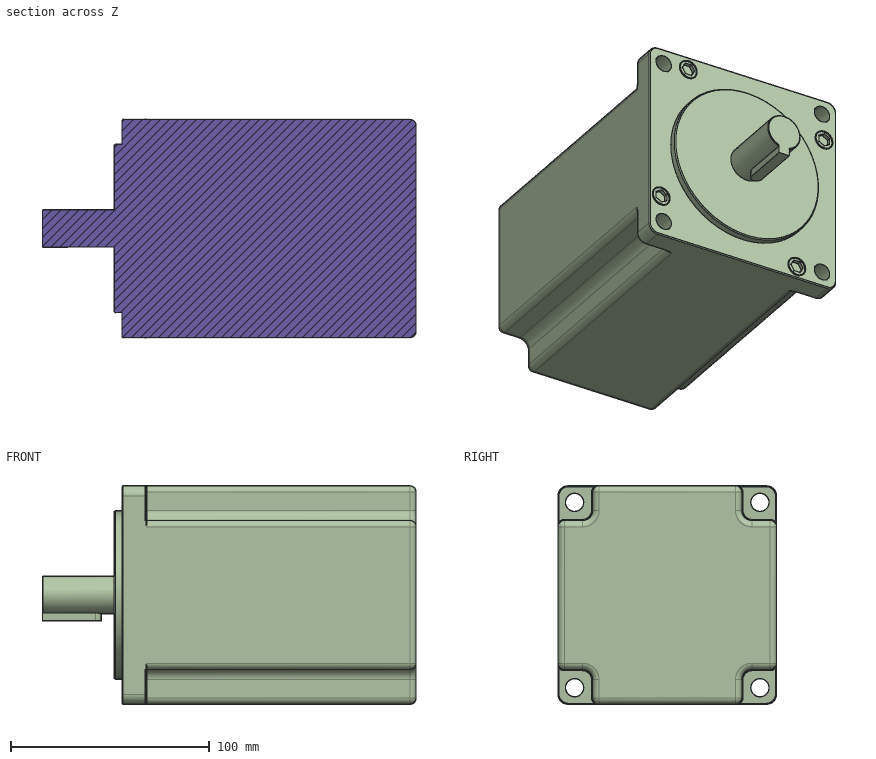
import cadquery as cq
import math

length = 188.0
width = 110.0
half_width = width / 2

quarters = 4
quarter_turn = 360 / quarters

shaft_diameter = 19.0
shaft_chamfer = 0.4
key_width = 6.0
key_length = 29.7
key_reach = 13.0

pilot_start = 36.1
pilot_diameter = 85.0
flange_start = 40.0
flange_end = 52.0
flange_corner_radius = 5.0
edge_chamfer = 0.5

notch_size = 17.5
notch_root_radius = 5.0
housing_edge_radius = 3.2
foot_size = 0.5

mount_offset = 46.6
mount_diameter = 9.0

screw_near_offset = 32.0
screw_far_offset = 48.0
screw_bore_diameter = 10.2
screw_head_diameter = 9.5
screw_gap_depth = 0.5
socket_across_flats = 6.2
socket_depth = 2.0


def plane_at(x):
    """Plane facing +X, with local x along Y and local y along Z."""
    return cq.Workplane("YZ", origin=(x, 0, 0))


def notched_outline(x, notch, root_radius):
    """Closed square outline at x with a notch in each corner, round at its root and outer edges."""
    floor = half_width - notch
    corner = (
        (half_width, floor - housing_edge_radius),
        (half_width - housing_edge_radius, floor),
        (floor + root_radius, floor),
        (floor, floor + root_radius),
        (floor, half_width - housing_edge_radius),
        (floor - housing_edge_radius, half_width),
    )
    outline = plane_at(x).moveTo(half_width, housing_edge_radius - floor)
    for quarter in range(quarters):
        angle = math.radians(quarter_turn * quarter)
        points = [
            (y * math.cos(angle) - z * math.sin(angle), y * math.sin(angle) + z * math.cos(angle))
            for y, z in corner
        ]
        for line_end, arc_end in zip(points[0::2], points[1::2]):
            outline = outline.lineTo(*line_end).tangentArcPoint(arc_end, relative=False)
    return outline.close()


def make_housing():
    """Notched bar with a rounded rear rim and a small sloped foot where it meets the flange."""
    bar = (
        notched_outline(flange_end, notch_size, notch_root_radius)
        .extrude(length - flange_end)
        .faces(">X")
        .edges()
        .fillet(housing_edge_radius)
    )
    foot_start = notched_outline(flange_end, notch_size - foot_size, notch_root_radius - foot_size)
    foot_end = notched_outline(flange_end + foot_size, notch_size, notch_root_radius)
    foot = cq.Solid.makeLoft([foot_start.val(), foot_end.val()], ruled=True)
    return bar.union(cq.Workplane(foot))


def make_flange():
    """Rounded square plate with both rims chamfered, the rear one only beside the notches."""
    plate = (
        plane_at(flange_start)
        .rect(width, width)
        .extrude(flange_end - flange_start)
        .edges("|X")
        .fillet(flange_corner_radius)
        .faces("<X or >X")
        .edges()
        .chamfer(edge_chamfer)
    )
    between_notches = width - 2 * notch_size
    rim_start = flange_end - edge_chamfer
    upright = plane_at(rim_start).rect(between_notches, width).extrude(edge_chamfer)
    crossbar = plane_at(rim_start).rect(width, between_notches).extrude(edge_chamfer)
    return plate.union(upright).union(crossbar)


def make_pilot():
    """Low disc that centres the motor, with a broken front rim."""
    return (
        plane_at(pilot_start)
        .circle(pilot_diameter / 2)
        .extrude(flange_end - pilot_start)
        .faces("<X")
        .edges()
        .chamfer(edge_chamfer)
    )


def make_shaft():
    """Shaft running into the flange, with its free end lightly broken."""
    return (
        plane_at(0)
        .circle(shaft_diameter / 2)
        .extrude(flange_end)
        .faces("<X")
        .edges()
        .chamfer(shaft_chamfer)
    )


def make_key():
    """Key flush with the shaft end, reaching down from the shaft axis."""
    end_radius = key_width / 2
    straight_length = key_length - end_radius
    return (
        cq.Workplane("XY")
        .moveTo(0, -end_radius)
        .lineTo(straight_length, -end_radius)
        .threePointArc((key_length, 0), (straight_length, end_radius))
        .lineTo(0, end_radius)
        .close()
        .extrude(-key_reach)
    )


def make_mount_holes():
    """Through holes in the flange corners."""
    return (
        plane_at(flange_start)
        .rect(2 * mount_offset, 2 * mount_offset, forConstruction=True)
        .vertices()
        .circle(mount_diameter / 2)
        .extrude(flange_end - flange_start)
    )


def make_screw_recess():
    """Ring gap around one screw head together with its hexagonal socket."""
    gap = (
        plane_at(flange_start)
        .center(screw_near_offset, screw_far_offset)
        .circle(screw_bore_diameter / 2)
        .circle(screw_head_diameter / 2)
        .extrude(screw_gap_depth)
    )
    socket = (
        plane_at(flange_start)
        .center(screw_near_offset, screw_far_offset)
        .polygon(6, socket_across_flats / math.cos(math.pi / 6))
        .extrude(socket_depth)
    )
    return gap.union(socket)


result = make_flange().union(make_housing()).union(make_pilot()).union(make_shaft()).union(make_key())
result = result.cut(make_mount_holes())
screw_recess = make_screw_recess()
for quarter in range(quarters):
    result = result.cut(screw_recess.rotate((0, 0, 0), (1, 0, 0), quarter_turn * quarter))